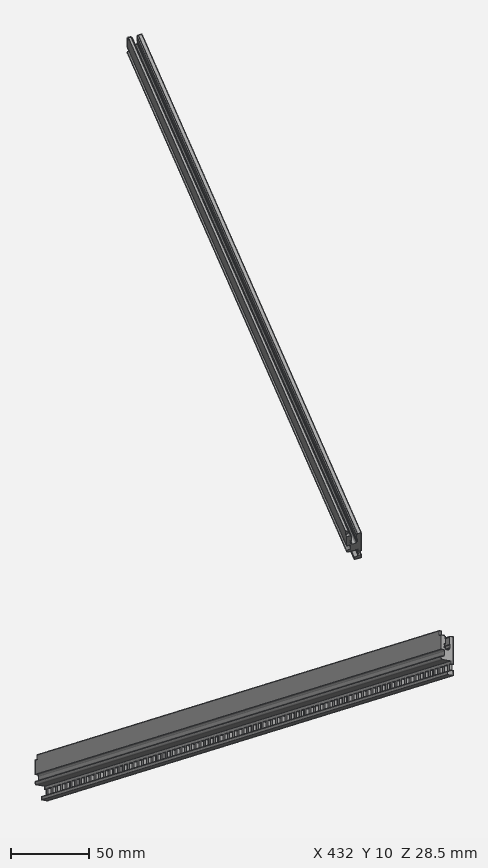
import cadquery as cq

length = 432.0
depth = 10.0
height = 28.5

wall = 2.5
lip = 3.35
wall_top = 25.5
lip_bottom = 20.0
lip_chamfer = 1.0
undercut_bottom = 17.5
channel_floor = 16.5
floor_round = 0.65

strip_thickness = 1.7
strip_end_inset = 1.95

front_wall_bottom = 16.0
groove_face = 2.5
groove_round = 1.0
flange_top = 11.5
flange_thickness = 2.37

web_thickness = 2.0
foot_reach = 4.7
foot_root = 2.95
foot_tip = 2.0

post_count = 85
pitch = length / post_count
window_width = 3.0
window_bottom = 3.25
window_top = 7.5

back = depth
web_front = back - web_thickness
foot_front = back - foot_reach
flange_bottom = flange_top - flange_thickness
flange_radius = flange_thickness / 2


def box(x_min, x_max, y_min, y_max, z_min, z_max):
    size = (x_max - x_min, y_max - y_min, z_max - z_min)
    return cq.Workplane("XY").box(*size, centered=False).translate((x_min, y_min, z_min))


def profile_bar():
    """Constant cross-section, drawn in Y and Z and extruded along X."""
    return (
        cq.Workplane("YZ")
        .moveTo(back, 0)
        .lineTo(back, wall_top)
        .lineTo(back - lip + lip_chamfer, wall_top)
        .lineTo(back - lip, wall_top - lip_chamfer)
        .lineTo(back - lip, lip_bottom)
        .lineTo(back - wall, lip_bottom)
        .lineTo(back - wall, undercut_bottom)
        .lineTo(back - lip, undercut_bottom)
        .lineTo(back - lip, channel_floor + floor_round)
        .radiusArc((back - lip - floor_round, channel_floor), floor_round)
        .lineTo(lip + floor_round, channel_floor)
        .radiusArc((lip, channel_floor + floor_round), floor_round)
        .lineTo(lip, undercut_bottom)
        .lineTo(wall, undercut_bottom)
        .lineTo(wall, lip_bottom)
        .lineTo(lip, lip_bottom)
        .lineTo(lip, wall_top - lip_chamfer)
        .lineTo(lip - lip_chamfer, wall_top)
        .lineTo(0, wall_top)
        .lineTo(0, front_wall_bottom)
        .lineTo(groove_face - groove_round, front_wall_bottom)
        .radiusArc((groove_face, front_wall_bottom - groove_round), groove_round)
        .lineTo(groove_face, flange_top + groove_round)
        .radiusArc((groove_face - groove_round, flange_top), groove_round)
        .lineTo(flange_radius, flange_top)
        .threePointArc((0, flange_top - flange_radius), (flange_radius, flange_bottom))
        .lineTo(web_front, flange_bottom)
        .lineTo(web_front, foot_root)
        .lineTo(foot_front, foot_tip)
        .lineTo(foot_front, 0)
        .close()
        .extrude(length)
    )


def upright_strip():
    return box(strip_end_inset, length - strip_end_inset, 0, strip_thickness, wall_top, height)


def windows():
    """Cutters centred on the ends of each pitch, so the two end windows are half open."""
    centres = [(i * pitch, (window_bottom + window_top) / 2) for i in range(post_count + 1)]
    return (
        cq.Workplane("XZ", origin=(0, back, 0))
        .pushPoints(centres)
        .rect(window_width, window_top - window_bottom)
        .extrude(web_thickness)
    )


result = profile_bar().union(upright_strip()).cut(windows())